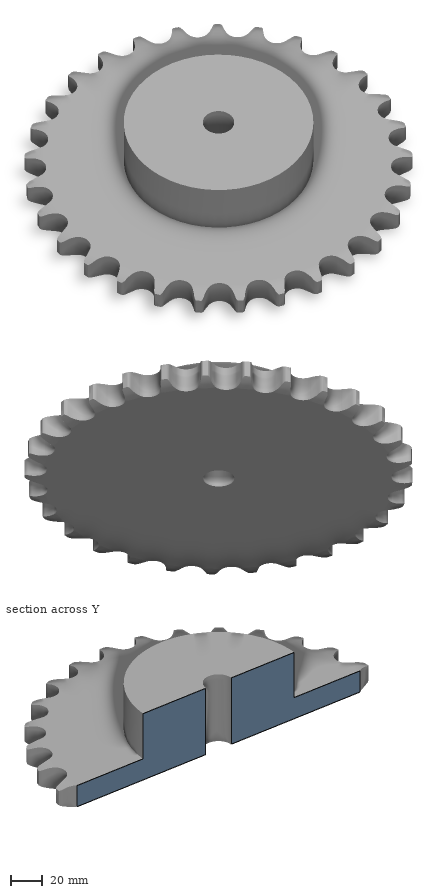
import cadquery as cq
import math

overall_width = 245.5
overall_height = 50.0
plate_thickness = 16.2
hub_diameter = 120.0
bore_diameter = 20.0

tooth_count = 29
pitch_radius = 117.5
seat_radius = 8.0
flank_radius = 31.0
seat_end_angle = math.radians(25)
flank_end_angle = math.radians(11)
tip_half_width = 1.7

relief_start_radius = 111.5
blank_margin = 2.5

pitch_angle = 2 * math.pi / tooth_count
chain_pitch = 2 * pitch_radius * math.sin(pitch_angle / 2)
root_radius = pitch_radius - seat_radius
relief_radius = chain_pitch

first_tooth_angle = -math.pi / 2
tip_half_angle = math.asin(2 * tip_half_width / overall_width)
tip_radius = overall_width / 2 / math.cos(pitch_angle / 4 - tip_half_angle)


def polar(radius, angle):
    return (radius * math.cos(angle), radius * math.sin(angle))


def arc_point(center, radius, angle):
    dx, dy = polar(radius, angle)
    return (center[0] + dx, center[1] + dy)


def tooth_side():
    """One side of a tooth along +X: seat end, flank middle, flank end, tip middle, tip corner."""
    seat_center = polar(pitch_radius, -pitch_angle / 2)
    seat_end_normal = math.pi / 2 + seat_end_angle
    flank_end_normal = math.pi / 2 + flank_end_angle
    flank_center = arc_point(seat_center, seat_radius - flank_radius, seat_end_normal)
    seat_end = arc_point(flank_center, flank_radius, seat_end_normal)
    flank_middle = arc_point(flank_center, flank_radius, (seat_end_normal + flank_end_normal) / 2)
    flank_end = arc_point(flank_center, flank_radius, flank_end_normal)

    tip_corner = polar(tip_radius, -tip_half_angle)
    chord_x = tip_corner[0] - flank_end[0]
    chord_y = tip_corner[1] - flank_end[1]
    inward_x, inward_y = polar(1, flank_end_normal)
    rounding = (chord_x**2 + chord_y**2) / (2 * (chord_x * inward_x + chord_y * inward_y))
    rounding_center = arc_point(flank_end, rounding, flank_end_normal)
    start_angle = flank_end_normal - math.pi
    end_angle = math.atan2(tip_corner[1] - rounding_center[1], tip_corner[0] - rounding_center[0])
    tip_middle = arc_point(rounding_center, rounding, (start_angle + end_angle) / 2)
    return [seat_end, flank_middle, flank_end, tip_middle, tip_corner]


def turned(point, angle):
    return polar(math.hypot(*point), math.atan2(point[1], point[0]) + angle)


def toothed_prism():
    near_side = tooth_side()
    far_side = [(x, -y) for x, y in reversed(near_side)]
    tip_center = (tip_radius, 0)
    next_seat = polar(root_radius, pitch_angle / 2)
    next_tooth = turned(near_side[0], pitch_angle)
    arc_points = near_side[1:] + [tip_center] + far_side + [next_seat, next_tooth]

    outline = cq.Workplane("XY").moveTo(*turned(near_side[0], first_tooth_angle))
    for tooth in range(tooth_count):
        angle = first_tooth_angle + tooth * pitch_angle
        for middle, end in zip(arc_points[::2], arc_points[1::2]):
            outline = outline.threePointArc(turned(middle, angle), turned(end, angle))
    return outline.close().extrude(plate_thickness)


def relieved_blank():
    """Disc whose two faces curve in toward each other near the rim."""
    blank_radius = tip_radius + blank_margin

    def relief_depth(radius):
        run = radius - relief_start_radius
        return relief_radius - math.sqrt(relief_radius**2 - run**2)

    middle_radius = (relief_start_radius + blank_radius) / 2
    middle_depth = relief_depth(middle_radius)
    rim_depth = relief_depth(blank_radius)
    return (
        cq.Workplane("XZ")
        .lineTo(relief_start_radius, 0)
        .threePointArc((middle_radius, middle_depth), (blank_radius, rim_depth))
        .lineTo(blank_radius, plate_thickness - rim_depth)
        .threePointArc(
            (middle_radius, plate_thickness - middle_depth),
            (relief_start_radius, plate_thickness),
        )
        .lineTo(0, plate_thickness)
        .close()
        .revolve(360, (0, 0, 0), (0, 1, 0))
    )


toothed_plate = toothed_prism().intersect(relieved_blank())
hub = cq.Workplane("XY").circle(hub_diameter / 2).extrude(overall_height)
bore = cq.Workplane("XY").circle(bore_diameter / 2).extrude(overall_height)
result = toothed_plate.union(hub).cut(bore)